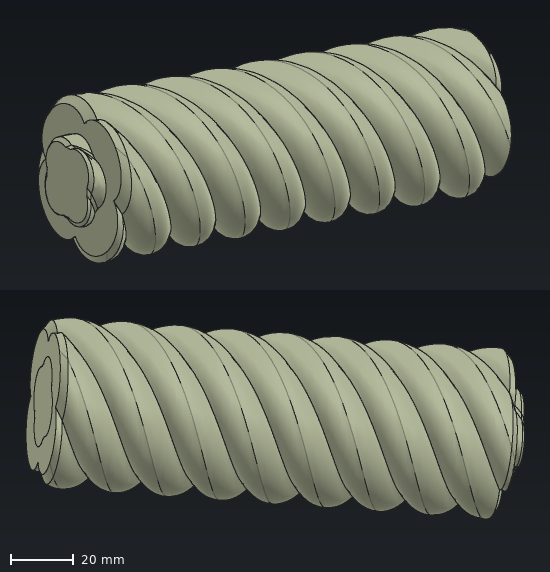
import cadquery as cq
import math

OVERALL_LENGTH = 155.0
SCREW_PROTRUSION = 5.0
FRONT_Y = -OVERALL_LENGTH / 2
BACK_Y = OVERALL_LENGTH / 2
HOUSING_FRONT_Y = FRONT_Y + SCREW_PROTRUSION

LOBE_COUNT = 4
LOBE_PITCH = 360 / LOBE_COUNT

HOUSING_DIAMETER = 55.0
HOUSING_LOBE_DEPTH = 13.0
HOUSING_LOBE_WIDTH = 15.8
HOUSING_CHAMFER = 2.0
HOUSING_TWIST = 780.0
HOUSING_TWIST_RATE = HOUSING_TWIST / (BACK_Y - HOUSING_FRONT_Y)
HOUSING_FRONT_ANGLE = 7.5

SCREW_TIP_RADIUS = 15.0
SCREW_LOBE_RADIUS = 8.5
SCREW_CORE_DIAMETER = 25.0
SCREW_CHAMFER = 1.0
SCREW_TWIST = 1170.0
SCREW_TWIST_RATE = SCREW_TWIST / OVERALL_LENGTH
SCREW_FRONT_ANGLE = 3.0


def polar(radius, degrees):
    angle = math.radians(degrees)
    return (radius * math.cos(angle), radius * math.sin(angle))


def section_at(y, turn):
    """Workplane facing +Y at y, turned about the Y axis by the given degrees."""
    plane = cq.Plane(origin=(0, y, 0), xDir=(1, 0, 0), normal=(0, 1, 0))
    return cq.Workplane(plane.rotated((0, 0, turn)))


def lobe_tips():
    """Angles of the lobe tips, with a groove on each axis of the section."""
    return [LOBE_PITCH * (index + 0.5) for index in range(LOBE_COUNT)]


def housing_section(y, turn, inset=0):
    """Elliptical lobes, each made of two halves that meet at its tip and run to the grooves."""
    lobe_center = HOUSING_DIAMETER / 2 - HOUSING_LOBE_DEPTH
    depth = HOUSING_LOBE_DEPTH - inset
    width = HOUSING_LOBE_WIDTH - inset

    slope = math.tan(math.radians(LOBE_PITCH / 2))
    square = 1 / depth**2 + (slope / width) ** 2
    linear = lobe_center / depth**2
    constant = (lobe_center / depth) ** 2 - 1
    groove_x = (linear + math.sqrt(linear**2 - square * constant)) / square
    groove_radius = groove_x * math.hypot(1, slope)
    half_sweep = math.degrees(math.atan2(groove_x * slope / width, (groove_x - lobe_center) / depth))

    outline = section_at(y, turn).moveTo(groove_radius, 0)
    for tip in lobe_tips():
        outline = outline.ellipseArc(depth, width, -half_sweep, 0, tip)
        outline = outline.ellipseArc(depth, width, 0, half_sweep, tip)
    return outline.close()


def screw_section(y, turn, inset=0):
    """Round lobes joined by short arcs of the core."""
    tip_radius = SCREW_TIP_RADIUS - inset
    lobe_radius = SCREW_LOBE_RADIUS - inset
    core_radius = SCREW_CORE_DIAMETER / 2 - inset
    lobe_center = tip_radius - lobe_radius
    cosine = (core_radius**2 + lobe_center**2 - lobe_radius**2) / (2 * core_radius * lobe_center)
    half_width = math.degrees(math.acos(cosine))

    outline = section_at(y, turn).moveTo(*polar(core_radius, lobe_tips()[0] - half_width))
    for tip in lobe_tips():
        foot = tip + half_width
        groove = tip + LOBE_PITCH / 2
        next_foot = tip + LOBE_PITCH - half_width
        outline = outline.threePointArc(polar(tip_radius, tip), polar(core_radius, foot))
        outline = outline.threePointArc(polar(core_radius, groove), polar(core_radius, next_foot))
    return outline.close()


def chamfered_end(section, end_y, inner_y, turn_at):
    """Tapered slice from the inset section at end_y to the full section at inner_y."""
    chamfer = abs(inner_y - end_y)
    end_wire = section(end_y, turn_at(end_y), chamfer).wires().val()
    inner_wire = section(inner_y, turn_at(inner_y)).wires().val()
    return cq.Workplane(cq.Solid.makeLoft([end_wire, inner_wire], True))


def twisted_rod(section, front_y, front_turn, twist_rate, front_chamfer, back_chamfer=0):
    """Twisted bar from front_y to BACK_Y with a chamfered front and, if asked, a chamfered back."""

    def turn_at(y):
        return front_turn + twist_rate * (y - front_y)

    start_y = front_y + front_chamfer
    stop_y = BACK_Y - back_chamfer
    length = stop_y - start_y
    rod = section(start_y, turn_at(start_y)).twistExtrude(length, twist_rate * length)
    rod = rod.union(chamfered_end(section, front_y, start_y, turn_at), glue=True)
    if back_chamfer:
        rod = rod.union(chamfered_end(section, BACK_Y, stop_y, turn_at), glue=True)
    return rod


def make_screw():
    """Twisted screw, chamfered in front and flush with the back of the housing."""
    return twisted_rod(screw_section, FRONT_Y, SCREW_FRONT_ANGLE, SCREW_TWIST_RATE, SCREW_CHAMFER)


def make_housing(screw_body):
    """Twisted housing, chamfered at both ends, with a through hole that fits the screw."""
    body = twisted_rod(
        housing_section,
        HOUSING_FRONT_Y,
        HOUSING_FRONT_ANGLE,
        HOUSING_TWIST_RATE,
        HOUSING_CHAMFER,
        HOUSING_CHAMFER,
    )
    return body.cut(screw_body)


screw = make_screw()
housing = make_housing(screw)
result = cq.Compound.makeCompound([housing.solids().val(), screw.solids().val()])